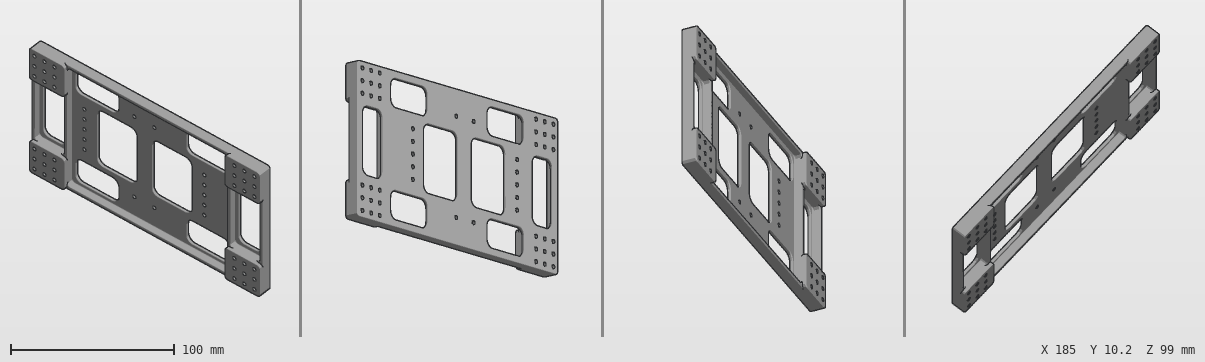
import cadquery as cq
LENGTH = 185.0
DEPTH = 10.16
HEIGHT = 99.0

FLOOR_THICKNESS = 2.54
RIM_DEPTH = 7.62

CORNER_RADIUS = 2.5
EDGE_FILLET = 0.75

PAD_LENGTH = 28.5
PAD_HEIGHT = 25.0
PAD_HOLE_INSET = 4.5
PAD_HOLE_COUNT = 3

WALL = 2.6
POCKET_RADIUS = 2.5

OPENING_RADIUS = 5.0
CORNER_OPENING = (34.2, 18.2)
CORNER_OPENING_X = 44.4
CORNER_OPENING_Z = 35.4
END_OPENING = (18.5, 43.6)
END_OPENING_X = 78.2
WINDOW = (31.6, 43.6)
WINDOW_SPACING = 44.0

PATTERN_X = -6.5
HOLE_DIAMETER = 2.5
HOLE_PITCH = 8.0
COLUMN_SPACING = 12 * HOLE_PITCH
COLUMN_COUNT = 5
ROW_SPACING = 8 * HOLE_PITCH
ROW_HOLE_SPACING = 2 * HOLE_PITCH

BACK_Y = DEPTH / 2
TOLERANCE = 0.01
SIGNS = (-1, 1)
CORNERS = [(side_x, side_z) for side_x in SIGNS for side_z in SIGNS]


def block(size, center, back, front, radius):
    """Rounded rectangular prism between two distances forward of the back face."""
    prism = (
        cq.Workplane("XZ", origin=(center[0], BACK_Y - back, center[1]))
        .rect(*size)
        .extrude(front - back)
    )
    return prism.edges("|Y").fillet(radius)


def pocket(size, center):
    """Pocket cutter with rounded corners and filleted floor edges."""
    cutter = block(size, center, FLOOR_THICKNESS, RIM_DEPTH, POCKET_RADIUS)
    return cutter.faces(">Y").edges().fillet(EDGE_FILLET)


def tray():
    """Blank with its three pockets; every front edge of the rims is rounded over."""
    body = block((LENGTH, HEIGHT), (0, 0), 0, RIM_DEPTH, CORNER_RADIUS)
    body = body.faces(">Y").edges().fillet(EDGE_FILLET)
    main_size = (LENGTH - 2 * PAD_LENGTH, HEIGHT - 2 * WALL)
    body = body.cut(pocket(main_size, (0, 0)))
    end_size = (PAD_LENGTH - 2 * WALL, HEIGHT - 2 * PAD_HEIGHT)
    for side in SIGNS:
        body = body.cut(pocket(end_size, (side * (LENGTH - PAD_LENGTH) / 2, 0)))
    return body.faces("<Y").edges().fillet(EDGE_FILLET)


def corner_pad(side_x, side_z):
    """Raised pad, carried down into the tray so that it fills the rim below it."""
    center = (side_x * (LENGTH - PAD_LENGTH) / 2, side_z * (HEIGHT - PAD_HEIGHT) / 2)
    pad = block((PAD_LENGTH, PAD_HEIGHT), center, FLOOR_THICKNESS / 2, DEPTH, CORNER_RADIUS)
    return pad.faces("<Y").edges().fillet(EDGE_FILLET)


def cut_opening(body, size, center):
    """Cut a through opening and round over its edges on both sides of the floor."""
    body = body.cut(block(size, center, 0, FLOOR_THICKNESS, OPENING_RADIUS))
    half_x = size[0] / 2 + TOLERANCE
    half_z = size[1] / 2 + TOLERANCE
    opening_edges = cq.selectors.BoxSelector(
        (center[0] - half_x, BACK_Y - FLOOR_THICKNESS - TOLERANCE, center[1] - half_z),
        (center[0] + half_x, BACK_Y + TOLERANCE, center[1] + half_z),
        boundingbox=True,
    )
    return body.edges(opening_edges).edges("not |Y").fillet(EDGE_FILLET)


def opening_list():
    """Size and centre of every opening."""
    found = []
    for side_x, side_z in CORNERS:
        found.append((CORNER_OPENING, (side_x * CORNER_OPENING_X, side_z * CORNER_OPENING_Z)))
    for side in SIGNS:
        found.append((END_OPENING, (side * END_OPENING_X, 0)))
        found.append((WINDOW, (PATTERN_X + side * WINDOW_SPACING / 2, 0)))
    return found


def pad_hole_points():
    points = []
    for side_x, side_z in CORNERS:
        for column in range(PAD_HOLE_COUNT):
            for row in range(PAD_HOLE_COUNT):
                x = LENGTH / 2 - PAD_HOLE_INSET - column * HOLE_PITCH
                z = HEIGHT / 2 - PAD_HOLE_INSET - row * HOLE_PITCH
                points.append((side_x * x, side_z * z))
    return points


def floor_hole_points():
    """Four holes above and below the windows and a column of holes on either side of them."""
    points = []
    for side_x, side_z in CORNERS:
        points.append((PATTERN_X + side_x * ROW_HOLE_SPACING / 2, side_z * ROW_SPACING / 2))
    for side in SIGNS:
        for row in range(COLUMN_COUNT):
            z = (row - (COLUMN_COUNT - 1) / 2) * HOLE_PITCH
            points.append((PATTERN_X + side * COLUMN_SPACING / 2, z))
    return points


part = tray()
for side_x, side_z in CORNERS:
    part = part.union(corner_pad(side_x, side_z))
for size, center in opening_list():
    part = cut_opening(part, size, center)
holes = (
    cq.Workplane("XZ", origin=(0, BACK_Y, 0))
    .pushPoints(pad_hole_points() + floor_hole_points())
    .circle(HOLE_DIAMETER / 2)
    .extrude(DEPTH)
)
result = part.cut(holes)